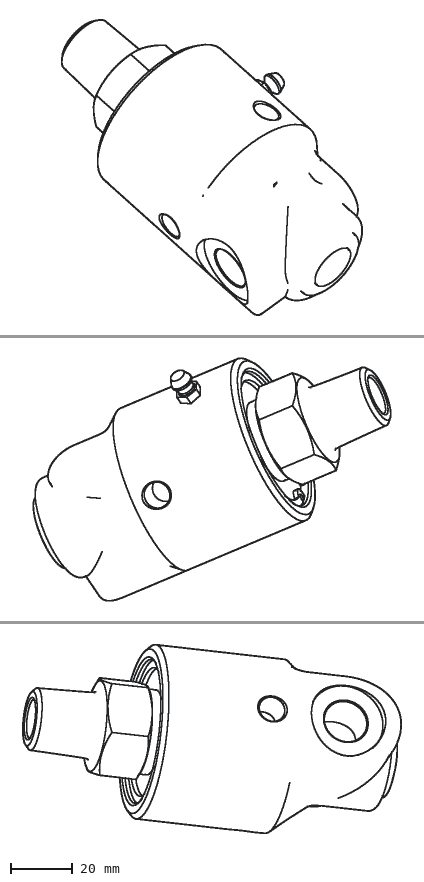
import cadquery as cq
import math


TOTAL_LENGTH = 121.51
TOTAL_WIDTH = 66.13

BODY_RADIUS = 57.0 / 2
BODY_CHAMFER = 1.6
SHOULDER_X = 44.85
CONE_ANGLE = 38.5
TAIL_RADIUS = 17.5
TAIL_END_X = 80.2
TAIL_EDGE_RADIUS = 2.0
BLEND_RADIUS = 6.5

PLUG_RADIUS = 25.4 / 2
PLUG_ROOT_RADIUS = 27.8 / 2
PLUG_LENGTH = 2.7
PLUG_EDGE_RADIUS = 0.6
PLUG_TIP_RADIUS = 7.8
PLUG_TIP_LENGTH = 1.21
PLUG_TIP_ROOT_RADIUS = 0.4
END_X = TAIL_END_X + PLUG_LENGTH + PLUG_TIP_LENGTH

LUG_AXIS_X = TAIL_END_X - TAIL_RADIUS
LUG_EDGE_RADIUS = 1.75
PORT_X = 62.05
SPOTFACE_DIAMETER = 25.0
SPOTFACE_Y = -25.1
PORT_DIAMETER = 14.3
PORT_CHAMFER = 0.35
PORT_CORE_RADIUS = 11.0

BOSS_HALF_WIDTH = 10.3
BOSS_TOP_Y = 22.0
BOSS_EDGE_RADIUS = 1.75
BOSS_ROOT_RADIUS = 1.75

DRILL_DIAMETER = 8.6
DRILL_MOUTH_DIAMETER = 9.9
DRILL_CORE_RADIUS = 16.5
DRILL_X = 36.45
DRILL_ANGLES = (60, 180, 300)

RECESS_RADIUS = 47.07 / 2
RECESS_MOUTH_RADIUS = 24.3
RECESS_DEPTH = 3.5
RING_INNER_RADIUS = 21.0
RING_THICKNESS = 1.5
RING_GAP = 6.1
RING_EYE_Y = -21.4
RING_EYE_Z = 6.1
RING_EYE_RADIUS = RING_EYE_Z - RING_GAP / 2
RING_HOLE_DIAMETER = 2.36
NECK_RADIUS = 27.8 / 2

HEX_FLATS = 30.15
HEX_BACK_X = -0.2
HEX_FRONT_X = -15.45
HEX_CHAMFER_ANGLE = 30.0
HEX_FACE_RADIUS = 14.8

TIP_X = END_X - TOTAL_LENGTH
THREAD_END_RADIUS = 10.8
THREAD_TAPER = 1 / 32
THREAD_END_X = -17.45
TIP_CHAMFER = 1.3
FLARE_RADIUS = 25.4 / 2
BORE_DIAMETER = 12.7
BORE_MOUTH_DIAMETER = 13.89
BORE_END_X = 30.0

NIPPLE_X = 16.35
NIPPLE_FLATS = 7.15
NIPPLE_HEX_TOP_Y = 31.2
NIPPLE_TOP_Y = TOTAL_WIDTH - BODY_RADIUS
NIPPLE_SHOULDER_RADIUS = 3.0
NIPPLE_COLLAR_RADIUS = 2.7
NIPPLE_COLLAR_Y = 31.8
NIPPLE_NECK_RADIUS = 2.3
NIPPLE_NECK_Y = 33.0
NIPPLE_UNDERCUT_Y = 33.7
NIPPLE_HEAD_RADIUS = 3.6
NIPPLE_HEAD_Y = 34.3
NIPPLE_HEAD_TOP_Y = 35.1
NIPPLE_TIP_RADIUS = 2.5

SINK = 5.0
CLEARANCE = 1.0


def tan_deg(angle):
    return math.tan(math.radians(angle))


def turned(profile):
    """Revolve a closed profile drawn as (x, radius) about the X axis."""
    return profile.close().revolve(360, (0, 0, 0), (1, 0, 0))


def disc(x_start, x_end, radius):
    return cq.Workplane("YZ", origin=(x_start, 0, 0)).circle(radius).extrude(x_end - x_start)


def half_space(side):
    """A large block on the +Y side (side = 1) or the -Y side (side = -1) of the axis."""
    size = 4 * TAIL_END_X
    return cq.Workplane("XY").box(size, size, size).translate((0, side * size / 2, 0))


def bullet(x_start, x_axis, half_width, y_start, y_end):
    """A slab along Y, flat at x_start and round about x_axis."""
    plane = cq.Plane(origin=(0, y_start, 0), xDir=(1, 0, 0), normal=(0, -1, 0))
    return (
        cq.Workplane(plane)
        .moveTo(x_start, -half_width)
        .lineTo(x_axis, -half_width)
        .threePointArc((x_axis + half_width, 0), (x_axis, half_width))
        .lineTo(x_start, half_width)
        .close()
        .extrude(y_start - y_end)
    )


def cone_x(radius):
    """Place along X where the shoulder cone has this radius."""
    return SHOULDER_X + (BODY_RADIUS - radius) / tan_deg(CONE_ANGLE)


def shoulder_cone(base_radius):
    """The shoulder cone, whole to its apex, from the place where it has this radius."""
    base_x = cone_x(base_radius)
    return turned(cq.Workplane("XY").moveTo(base_x, 0).lineTo(base_x, base_radius).lineTo(cone_x(0), 0))


def tail_blend_points():
    """Ends and middle of the arc, as (x, radius), that joins the cone to the tail."""
    cone_end_x = cone_x(TAIL_RADIUS)
    setback = BLEND_RADIUS * tan_deg(CONE_ANGLE / 2)
    centre_x = cone_end_x + setback
    centre_radius = TAIL_RADIUS + BLEND_RADIUS

    def point(angle):
        turn = math.radians(angle)
        return (centre_x - BLEND_RADIUS * math.sin(turn), centre_radius - BLEND_RADIUS * math.cos(turn))

    return point(CONE_ANGLE), point(CONE_ANGLE / 2), point(0)


def turned_body():
    cone_tangent, blend_middle, tail_tangent = tail_blend_points()
    plug_face_x = TAIL_END_X + PLUG_LENGTH
    root_radius = PLUG_ROOT_RADIUS - PLUG_RADIUS
    profile = (
        cq.Workplane("XY")
        .moveTo(0, 0)
        .lineTo(0, BODY_RADIUS - BODY_CHAMFER)
        .lineTo(BODY_CHAMFER, BODY_RADIUS)
        .lineTo(SHOULDER_X, BODY_RADIUS)
        .lineTo(*cone_tangent)
        .threePointArc(blend_middle, tail_tangent)
        .lineTo(TAIL_END_X - TAIL_EDGE_RADIUS, TAIL_RADIUS)
        .radiusArc((TAIL_END_X, TAIL_RADIUS - TAIL_EDGE_RADIUS), TAIL_EDGE_RADIUS)
        .lineTo(TAIL_END_X, PLUG_ROOT_RADIUS)
        .radiusArc((TAIL_END_X + root_radius, PLUG_RADIUS), -root_radius)
        .lineTo(plug_face_x - PLUG_EDGE_RADIUS, PLUG_RADIUS)
        .radiusArc((plug_face_x, PLUG_RADIUS - PLUG_EDGE_RADIUS), PLUG_EDGE_RADIUS)
        .lineTo(plug_face_x, PLUG_TIP_RADIUS + PLUG_TIP_ROOT_RADIUS)
        .radiusArc((plug_face_x + PLUG_TIP_ROOT_RADIUS, PLUG_TIP_RADIUS), -PLUG_TIP_ROOT_RADIUS)
        .lineTo(END_X, PLUG_TIP_RADIUS)
        .lineTo(END_X, 0)
    )
    return turned(profile)


def lug():
    """The -Y half of the shoulder, with the round-ended lug blended into the cone."""
    blank_radius = 1.5 * BODY_RADIUS
    slab = bullet(cone_x(blank_radius), LUG_AXIS_X, TAIL_RADIUS, 0, -blank_radius)
    blank = slab.union(shoulder_cone(blank_radius).intersect(half_space(-1)))
    blended = blank.edges("%HYPERBOLA").fillet(BLEND_RADIUS)
    bar = disc(SHOULDER_X - SINK, TAIL_END_X + SINK, BODY_RADIUS)
    trimmed = blended.intersect(bar)
    flat_edge_y = -math.sqrt(BODY_RADIUS**2 - TAIL_RADIUS**2)
    reach_z = TAIL_RADIUS + BLEND_RADIUS
    rim = cq.selectors.BoxSelector(
        (SHOULDER_X + CLEARANCE, -BODY_RADIUS - CLEARANCE, -reach_z),
        (TAIL_END_X + CLEARANCE, flat_edge_y + BLEND_RADIUS / 2, reach_z),
    )
    return trimmed.edges(rim).fillet(LUG_EDGE_RADIUS)


def boss():
    slab = bullet(SHOULDER_X, LUG_AXIS_X, BOSS_HALF_WIDTH, BOSS_TOP_Y, 0)
    return slab.faces(">Y").edges("not <X").fillet(BOSS_EDGE_RADIUS)


def boss_cone_blend():
    """The boss and the +Y half of the cone, blended with the large shoulder radius."""
    joined = shoulder_cone(BODY_RADIUS).intersect(half_space(1)).union(boss())
    return joined.edges("%HYPERBOLA or %BSPLINE").fillet(BLEND_RADIUS)


def add_boss(body):
    """Join the boss to the body, with a small root radius on the tail and a large one on the cone."""
    joined = body.union(boss())
    rounded = joined.edges("%BSPLINE or %HYPERBOLA").fillet(BOSS_ROOT_RADIUS)
    return rounded.union(boss_cone_blend())


def port():
    """Spotfaced, countersunk port in the lug, ending on a round core about the X axis."""
    radius = PORT_DIAMETER / 2
    spotface_radius = SPOTFACE_DIAMETER / 2
    hole = (
        cq.Workplane("XY")
        .moveTo(0, 0)
        .lineTo(radius, 0)
        .lineTo(radius, SPOTFACE_Y + PORT_CHAMFER)
        .lineTo(radius + PORT_CHAMFER, SPOTFACE_Y)
        .lineTo(spotface_radius, SPOTFACE_Y)
        .lineTo(spotface_radius, -BODY_RADIUS - CLEARANCE)
        .lineTo(0, -BODY_RADIUS - CLEARANCE)
        .close()
        .revolve(360, (0, 0, 0), (0, 1, 0))
    )
    core = disc(-PORT_DIAMETER, PORT_DIAMETER, PORT_CORE_RADIUS)
    return hole.cut(core).translate((PORT_X, 0, 0))


def drilled_hole(angle):
    """Countersunk radial hole, ending on a round core; angle is measured about X from +Y towards +Z."""
    radius = DRILL_DIAMETER / 2
    mouth_radius = DRILL_MOUTH_DIAMETER / 2
    hole = (
        cq.Workplane("XY")
        .moveTo(0, BODY_RADIUS + CLEARANCE)
        .lineTo(mouth_radius, BODY_RADIUS + CLEARANCE)
        .lineTo(mouth_radius, BODY_RADIUS)
        .lineTo(radius, BODY_RADIUS - (mouth_radius - radius))
        .lineTo(radius, 0)
        .lineTo(0, 0)
        .close()
        .revolve(360, (0, 0, 0), (0, 1, 0))
    )
    core = disc(-DRILL_DIAMETER, DRILL_DIAMETER, DRILL_CORE_RADIUS)
    return hole.cut(core).translate((DRILL_X, 0, 0)).rotate((0, 0, 0), (1, 0, 0), angle)


def front_recess():
    mouth_depth = RECESS_MOUTH_RADIUS - RECESS_RADIUS
    profile = (
        cq.Workplane("XY")
        .moveTo(0, 0)
        .lineTo(0, RECESS_MOUTH_RADIUS)
        .lineTo(mouth_depth, RECESS_RADIUS)
        .lineTo(RECESS_DEPTH, RECESS_RADIUS)
        .lineTo(RECESS_DEPTH, 0)
    )
    return turned(profile)


def retaining_ring():
    """Open ring on the recess floor, with an eye at each side of its gap."""
    sketch = cq.Workplane("YZ", origin=(RECESS_DEPTH - RING_THICKNESS, 0, 0))
    eye_places = [(RING_EYE_Y, -RING_EYE_Z), (RING_EYE_Y, RING_EYE_Z)]
    ring = sketch.circle(RECESS_RADIUS).circle(RING_INNER_RADIUS).extrude(RING_THICKNESS)
    eyes = sketch.pushPoints(eye_places).circle(RING_EYE_RADIUS).extrude(RING_THICKNESS)
    holes = sketch.pushPoints(eye_places).circle(RING_HOLE_DIAMETER / 2).extrude(RING_THICKNESS)
    gap = sketch.center(-RECESS_RADIUS, 0).rect(RECESS_RADIUS, RING_GAP).extrude(RING_THICKNESS)
    inside = disc(0, RECESS_DEPTH, RECESS_RADIUS)
    return ring.union(eyes).intersect(inside).cut(gap).cut(holes)


def hexagon():
    corner_radius = HEX_FLATS / math.sqrt(3)
    chamfer_length = (corner_radius - HEX_FACE_RADIUS) * tan_deg(HEX_CHAMFER_ANGLE)
    prism = (
        cq.Workplane("YZ", origin=(HEX_FRONT_X, 0, 0))
        .transformed(rotate=(0, 0, 90))
        .polygon(6, 2 * corner_radius)
        .extrude(HEX_BACK_X - HEX_FRONT_X)
    )
    envelope = turned(
        cq.Workplane("XY")
        .moveTo(HEX_FRONT_X, 0)
        .lineTo(HEX_FRONT_X, HEX_FACE_RADIUS)
        .lineTo(HEX_FRONT_X + chamfer_length, corner_radius)
        .lineTo(HEX_BACK_X - chamfer_length, corner_radius)
        .lineTo(HEX_BACK_X, HEX_FACE_RADIUS)
        .lineTo(HEX_BACK_X, 0)
    )
    return prism.intersect(envelope)


def threaded_end():
    """Tapered pipe end, flared out to the hexagon."""
    tip_radius = THREAD_END_RADIUS - (THREAD_END_X - TIP_X) * THREAD_TAPER
    profile = (
        cq.Workplane("XY")
        .moveTo(TIP_X, 0)
        .lineTo(TIP_X, tip_radius - TIP_CHAMFER)
        .lineTo(TIP_X + TIP_CHAMFER, tip_radius + TIP_CHAMFER * THREAD_TAPER)
        .lineTo(THREAD_END_X, THREAD_END_RADIUS)
        .radiusArc((HEX_FRONT_X, FLARE_RADIUS), -(HEX_FRONT_X - THREAD_END_X))
        .lineTo(HEX_FRONT_X, 0)
    )
    return turned(profile)


def rotor_bore():
    bore_radius = BORE_DIAMETER / 2
    mouth_radius = BORE_MOUTH_DIAMETER / 2
    profile = (
        cq.Workplane("XY")
        .moveTo(TIP_X, 0)
        .lineTo(TIP_X, mouth_radius)
        .lineTo(TIP_X + mouth_radius - bore_radius, bore_radius)
        .lineTo(BORE_END_X, bore_radius)
        .lineTo(BORE_END_X, 0)
    )
    return turned(profile)


def add_rotor(body):
    neck = disc(HEX_BACK_X, RECESS_DEPTH + SINK, NECK_RADIUS)
    rotor = hexagon().union(threaded_end()).union(neck)
    return body.union(rotor).cut(rotor_bore())


def grease_nipple():
    plane = cq.Plane(origin=(0, BODY_RADIUS - SINK, 0), xDir=(0, 0, 1), normal=(0, 1, 0))
    base = (
        cq.Workplane(plane)
        .polygon(6, 2 * NIPPLE_FLATS / math.sqrt(3))
        .extrude(NIPPLE_HEX_TOP_Y - BODY_RADIUS + SINK)
    )
    head = (
        cq.Workplane("XY")
        .moveTo(0, NIPPLE_HEX_TOP_Y)
        .lineTo(NIPPLE_SHOULDER_RADIUS, NIPPLE_HEX_TOP_Y)
        .lineTo(NIPPLE_COLLAR_RADIUS, NIPPLE_COLLAR_Y)
        .threePointArc((NIPPLE_NECK_RADIUS, NIPPLE_NECK_Y), (NIPPLE_COLLAR_RADIUS, NIPPLE_UNDERCUT_Y))
        .lineTo(NIPPLE_HEAD_RADIUS, NIPPLE_HEAD_Y)
        .lineTo(NIPPLE_HEAD_RADIUS, NIPPLE_HEAD_TOP_Y)
        .lineTo(NIPPLE_TIP_RADIUS, NIPPLE_TOP_Y)
        .lineTo(0, NIPPLE_TOP_Y)
        .close()
        .revolve(360, (0, 0, 0), (0, 1, 0))
    )
    return base.union(head).translate((NIPPLE_X, 0, 0))


body = add_boss(turned_body()).union(lug())
body = body.cut(port())
for drill_angle in DRILL_ANGLES:
    body = body.cut(drilled_hole(drill_angle))
body = body.cut(front_recess()).union(retaining_ring())
body = add_rotor(body)
result = body.union(grease_nipple())